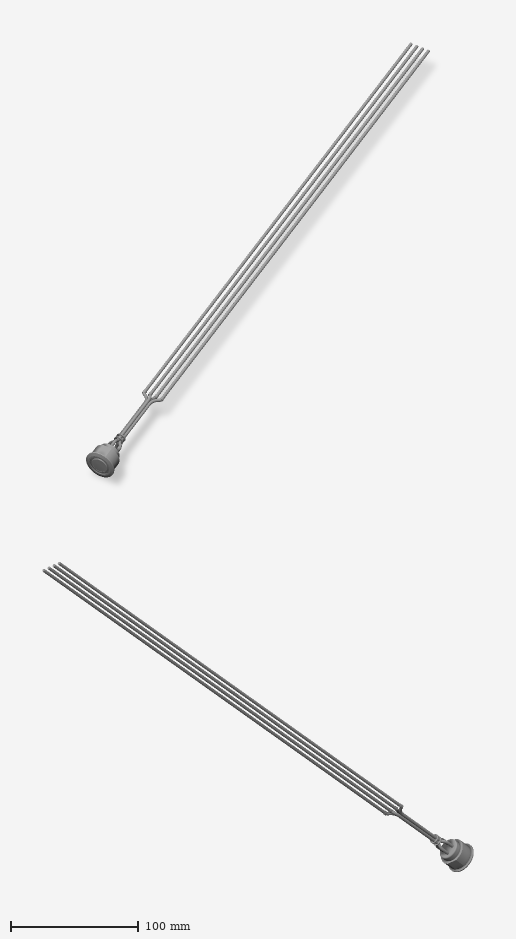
import cadquery as cq
import math


TOTAL_LENGTH = 517.86
FLANGE_DIA = 25.0
FLANGE_THICKNESS = 2.0
FLANGE_RIM_THICKNESS = 1.0
RELIEF_DIA = 20.4
THREAD_DIA = 22.0
THREAD_START = 3.0
THREAD_END = 13.0
FLAT_DISTANCE = RELIEF_DIA
REAR_DIA = 17.4
REAR_END = 18.0
REAR_FACE_DIA = 15.4

BEZEL_FACE_DIA = 20.0
BEZEL_BORE_DIA = 17.4
ACTUATOR_DIA = 14.2
ACTUATOR_TOP_DIA = 13.7
LENS_DIA = 12.2
GAP_DEPTH = 1.0
LENS_DEPTH = 0.2

WIRE_DIA = 2.5
WIRE_ANGLES = (180, 90, 270, 0)
TERMINAL_RADIUS = 4.7
BUNDLE_RADIUS = 1.8
RIBBON_PITCH = 5.2
GATHER_START = 23.8
GATHER_END = 30.4
FAN_RADIUS_SUM = 11.0
FAN_END = 87.2
FIRST_ARC_SHARE = 0.75
WIRE_EMBED = 1.0

TIE_DIA = 8.0
TIE_THICKNESS = 0.8
TIE_STARTS = (30.9, 34.6)
SLEEVE_START = 85.7
SLEEVE_END = 88.4
SLEEVE_DIA = 3.0


def disc(diameter, start, end):
    """Cylinder on the Y axis between two Y positions."""
    return cq.Workplane("XZ", origin=(0, start, 0)).circle(diameter / 2).extrude(start - end)


def make_housing():
    flange = disc(FLANGE_DIA, 0, FLANGE_THICKNESS).faces("<Y").edges().chamfer(
        FLANGE_THICKNESS - FLANGE_RIM_THICKNESS, (FLANGE_DIA - BEZEL_FACE_DIA) / 2
    )
    relief = disc(RELIEF_DIA, FLANGE_THICKNESS, THREAD_END)
    thread_length = THREAD_END - THREAD_START
    across_flats = cq.Workplane("XY").box(THREAD_DIA, thread_length, FLAT_DISTANCE)
    across_flats = across_flats.translate((0, THREAD_START + thread_length / 2, 0))
    thread = disc(THREAD_DIA, THREAD_START, THREAD_END).intersect(across_flats)
    rear = disc(REAR_DIA, THREAD_END, REAR_END).faces(">Y").edges().fillet(
        (REAR_DIA - REAR_FACE_DIA) / 2
    )
    return flange.union(relief).union(thread).union(rear)


def cut_actuator(housing):
    """Form the actuator: a ring gap around it, a bevelled rim and a sunken lens."""
    bevel = (ACTUATOR_DIA - ACTUATOR_TOP_DIA) / 2
    gap = disc(BEZEL_BORE_DIA, 0, GAP_DEPTH)
    actuator = disc(ACTUATOR_DIA, 0, GAP_DEPTH).faces("<Y").edges().chamfer(bevel)
    lens_recess = disc(LENS_DIA, 0, LENS_DEPTH)
    return housing.cut(gap.cut(actuator)).cut(lens_recess)


def s_bend(start, end):
    """Two opposite arcs from start to end that begin and finish along Y."""
    middle = start + (end - start) * FIRST_ARC_SHARE
    return [
        cq.Edge.makeTangentArc(start, cq.Vector(0, 1, 0), middle),
        cq.Edge.makeTangentArc(end, cq.Vector(0, -1, 0), middle),
    ]


def make_wire(angle, ribbon_x):
    """One wire: terminal, gathering bend, bundle, fan-out bend and ribbon."""
    ux = math.cos(math.radians(angle))
    uz = math.sin(math.radians(angle))

    def radial(radius, y):
        return cq.Vector(radius * ux, y, radius * uz)

    sideways = math.hypot(BUNDLE_RADIUS * ux - ribbon_x, BUNDLE_RADIUS * uz)
    fan_length = math.sqrt(sideways * (2 * FAN_RADIUS_SUM - sideways))
    terminal = radial(TERMINAL_RADIUS, REAR_END - WIRE_EMBED)
    gather_start = radial(TERMINAL_RADIUS, GATHER_START)
    gather_end = radial(BUNDLE_RADIUS, GATHER_END)
    fan_start = radial(BUNDLE_RADIUS, FAN_END - fan_length)
    fan_end = cq.Vector(ribbon_x, FAN_END, 0)
    tip = cq.Vector(ribbon_x, TOTAL_LENGTH, 0)

    path = [cq.Edge.makeLine(terminal, gather_start)]
    path += s_bend(gather_start, gather_end)
    path.append(cq.Edge.makeLine(gather_end, fan_start))
    path += s_bend(fan_start, fan_end)
    path.append(cq.Edge.makeLine(fan_end, tip))
    spine = cq.Wire.assembleEdges(path)
    return cq.Workplane("XZ", origin=terminal.toTuple()).circle(WIRE_DIA / 2).sweep(spine)


def make_ties():
    return [disc(TIE_DIA, start, start + TIE_THICKNESS) for start in TIE_STARTS]


def make_lead():
    """The four wires, each with its sleeve at the start of the ribbon."""
    parts = []
    ribbon_middle = (len(WIRE_ANGLES) - 1) / 2
    for place, angle in enumerate(WIRE_ANGLES):
        ribbon_x = RIBBON_PITCH * (place - ribbon_middle)
        sleeve = disc(SLEEVE_DIA, SLEEVE_START, SLEEVE_END).translate((ribbon_x, 0, 0))
        parts.append(make_wire(angle, ribbon_x))
        parts.append(sleeve)
    return parts


result = cut_actuator(make_housing())
for part in make_ties() + make_lead():
    result = result.union(part)